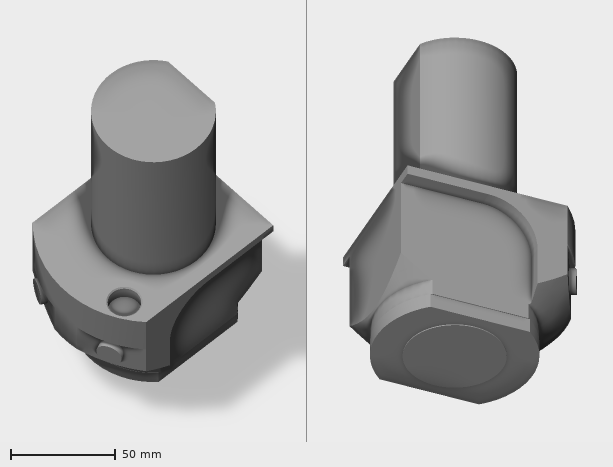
import cadquery as cq
import math

TOTAL_HEIGHT = 169.0
SHOULDER_Z = 75.0
FACET_TOP_Z = 52.2
PIN_Z = 43.0
CONE_BASE_Z = 16.5
COLLAR_STEP_Z = 8.1
DISC_HEIGHT = 0.5

HEAD_WIDTH = 80.0
HEAD_BACK_Y = 41.4
HEAD_RADIUS = 58.0

COLLAR_RADIUS = 40.5
LOWER_COLLAR_RADIUS = 40.7
COLLAR_WIDTH = 63.9
LOWER_COLLAR_WIDTH = 62.9
DISC_DIAMETER = 50.0

RECESS_TOP_Z = SHOULDER_Z - 5.0
RECESS_FRONT_Y = -26.4
RECESS_CORNER_RADIUS = 25.4

SHANK_DIAMETER = 60.0
SHANK_FLAT_Y = 25.0
SHANK_FLAT_BASE_Z = SHOULDER_Z + 2.4

FACET_INNER_X = 7.8
PIN_DIAMETER = 13.0
PIN_HEIGHT = 3.4

HOLE_X = 24.0
HOLE_Y = -41.4
HOLE_DIAMETER = 16.0
HOLE_DEPTH = 7.5
HOLE_CHAMFER = 0.7

HALF_WIDTH = HEAD_WIDTH / 2
INNER_ANGLE = math.asin(FACET_INNER_X / HEAD_RADIUS)
OUTER_ANGLE = math.asin(HALF_WIDTH / HEAD_RADIUS)
FACET_ANGLE = (INNER_ANGLE + OUTER_ANGLE) / 2
FACET_DISTANCE = HEAD_RADIUS * math.cos((OUTER_ANGLE - INNER_ANGLE) / 2)


def cylinder(diameter, bottom, top):
    """Vertical cylinder on the shank axis."""
    return cq.Workplane("XY").workplane(offset=bottom).circle(diameter / 2).extrude(top - bottom)


def head():
    """Flat-sided block with a round front and a 45 degree cone underneath."""
    corner_y = -math.sqrt(HEAD_RADIUS**2 - HALF_WIDTH**2)
    block = (
        cq.Workplane("XY")
        .workplane(offset=CONE_BASE_Z)
        .moveTo(-HALF_WIDTH, HEAD_BACK_Y)
        .lineTo(-HALF_WIDTH, corner_y)
        .threePointArc((0, -HEAD_RADIUS), (HALF_WIDTH, corner_y))
        .lineTo(HALF_WIDTH, HEAD_BACK_Y)
        .close()
        .extrude(SHOULDER_Z - CONE_BASE_Z)
    )
    cone_top_radius = COLLAR_RADIUS + SHOULDER_Z - CONE_BASE_Z
    cone = (
        cq.Workplane("XZ")
        .moveTo(0, CONE_BASE_Z)
        .lineTo(COLLAR_RADIUS, CONE_BASE_Z)
        .lineTo(cone_top_radius, SHOULDER_Z)
        .lineTo(0, SHOULDER_Z)
        .close()
        .revolve(360, (0, 0, 0), (0, 1, 0))
    )
    return block.intersect(cone)


def side_recess(side):
    """Cutter for the recess on one side of the head, with a rounded upper front corner."""
    floor_x = COLLAR_WIDTH / 2
    depth = HALF_WIDTH - floor_x
    length = HEAD_BACK_Y - RECESS_FRONT_Y
    return (
        cq.Workplane("XY")
        .box(depth, length, RECESS_TOP_Z, centered=(True, False, False))
        .edges("|X and >Z and <Y")
        .fillet(RECESS_CORNER_RADIUS)
        .translate((side * (floor_x + depth / 2), RECESS_FRONT_Y, 0))
    )


def collar_section(radius, width, bottom, top):
    """Cylinder with two parallel side flats."""
    flats = cq.Workplane("XY").box(width, 2 * radius, top, centered=(True, True, False))
    return cylinder(2 * radius, bottom, top).intersect(flats)


def shank():
    """Round shank whose rear flat stops just above the shoulder."""
    radius = SHANK_DIAMETER / 2
    flat = (
        cq.Workplane("XY")
        .box(SHANK_DIAMETER, radius, TOTAL_HEIGHT, centered=(True, False, False))
        .translate((0, SHANK_FLAT_Y, SHANK_FLAT_BASE_Z))
    )
    return cylinder(SHANK_DIAMETER, SHOULDER_Z, TOTAL_HEIGHT).cut(flat)


def facet_plane(side):
    """Plane of a front facet, facing outward, centred on the pin."""
    normal = (side * math.sin(FACET_ANGLE), -math.cos(FACET_ANGLE), 0)
    origin = (FACET_DISTANCE * normal[0], FACET_DISTANCE * normal[1], PIN_Z)
    return cq.Plane(origin=origin, xDir=(-normal[1], normal[0], 0), normal=normal)


def facet_cutter(side):
    """Block that slices the round front down to the facet, below the facet top."""
    height = FACET_TOP_Z - CONE_BASE_Z
    center_z = (FACET_TOP_Z + CONE_BASE_Z) / 2 - PIN_Z
    chord = 2 * math.sqrt(HEAD_RADIUS**2 - FACET_DISTANCE**2)
    return (
        cq.Workplane(facet_plane(side))
        .center(0, center_z)
        .rect(chord, height)
        .extrude(HEAD_RADIUS - FACET_DISTANCE)
    )


def pin(side):
    """Short round pin standing on a facet."""
    return cq.Workplane(facet_plane(side)).circle(PIN_DIAMETER / 2).extrude(PIN_HEIGHT)


def shoulder_hole():
    """Cutter for the blind hole with a chamfered rim."""
    radius = HOLE_DIAMETER / 2
    return (
        cq.Workplane("XZ")
        .lineTo(radius + HOLE_CHAMFER, 0)
        .lineTo(radius, -HOLE_CHAMFER)
        .lineTo(radius, -HOLE_DEPTH)
        .lineTo(0, -HOLE_DEPTH)
        .close()
        .revolve(360, (0, 0, 0), (0, 1, 0))
        .translate((HOLE_X, HOLE_Y, SHOULDER_Z))
    )


body = head()
for side in (-1, 1):
    body = body.cut(side_recess(side))
    body = body.cut(facet_cutter(side))
    body = body.union(pin(side))

body = body.cut(shoulder_hole())
body = body.union(collar_section(COLLAR_RADIUS, COLLAR_WIDTH, COLLAR_STEP_Z, CONE_BASE_Z))
body = body.union(collar_section(LOWER_COLLAR_RADIUS, LOWER_COLLAR_WIDTH, DISC_HEIGHT, COLLAR_STEP_Z))
body = body.union(cylinder(DISC_DIAMETER, 0, DISC_HEIGHT))
result = body.union(shank())